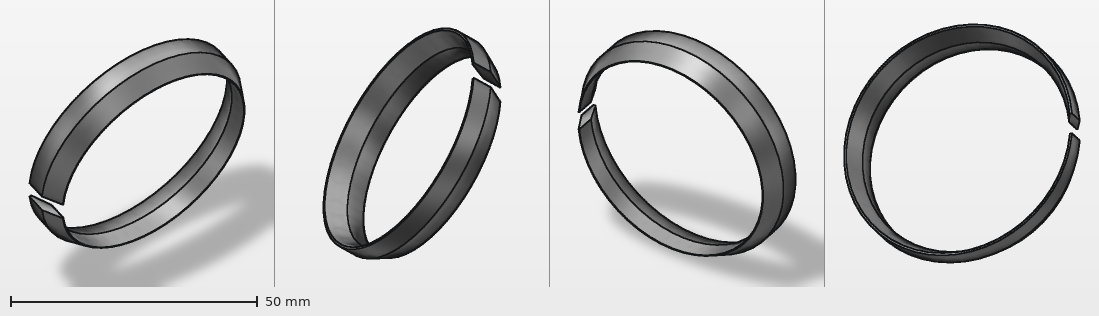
import cadquery as cq

outer_radius = 24.9
inner_radius = 22.55
width = 8.5
outer_straight = 4.35
inner_straight = 4.2
front_land = 0.5
back_land = 0.2
gap = 4.35

section = [
    (0, outer_radius),
    (outer_straight, outer_radius),
    (width, inner_radius + back_land),
    (width, inner_radius),
    (width - inner_straight, inner_radius),
    (0, outer_radius - front_land),
]
profile = [(x, -radius) for x, radius in section]
ring = cq.Workplane("XY").polyline(profile).close().revolve(360, (0, 0, 0), (1, 0, 0))

gap_cutter = cq.Workplane("XY").box(width, outer_radius, gap, centered=(False, True, True))
gap_cutter = gap_cutter.translate((0, -outer_radius, 0))

result = ring.cut(gap_cutter)